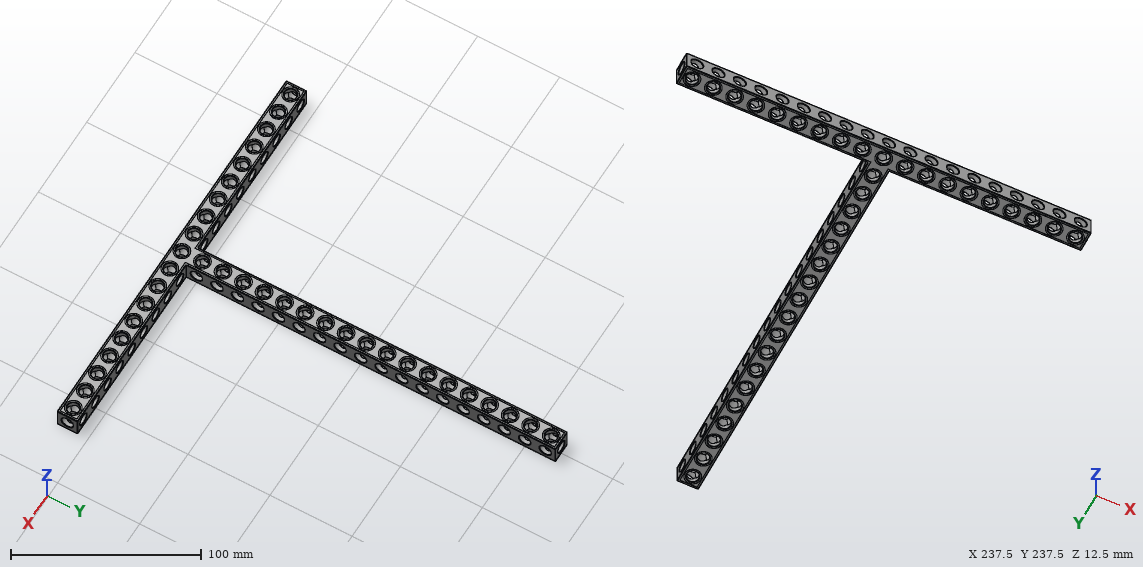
import cadquery as cq
length = 237.5
hole_count = 19
edge_chamfer = 0.3
hole_mouth_diameter = 7.5
pad_opening_diameter = 9.3
pad_height = 0.07
pad_inset = 1.2

pitch = length / hole_count
width = pitch
half_width = width / 2
half_length = length / 2
stem_end = length - half_width
core_half_height = half_width - pad_height
hole_diameter = hole_mouth_diameter - 2 * edge_chamfer

middle = hole_count // 2
bar_stations = [(i - middle) * pitch for i in range(hole_count)]
stem_stations = [i * pitch for i in range(hole_count)]


def tee_outline():
    """Tee seen from above, with the crossing of the bars at the origin."""
    points = [
        (-half_length, -half_width),
        (half_length, -half_width),
        (half_length, half_width),
        (half_width, half_width),
        (half_width, stem_end),
        (-half_width, stem_end),
        (-half_width, half_width),
        (-half_length, half_width),
    ]
    return cq.Workplane("XY").polyline(points).close()


def tee_body():
    """Chamfered core with a thin inset pad on the top and bottom faces."""
    core = tee_outline().extrude(core_half_height, both=True).edges().chamfer(edge_chamfer)
    pads = tee_outline().offset2D(-pad_inset, "intersection").extrude(half_width, both=True)
    return core.union(pads)


def hole_cutter(half_depth):
    """Cutter along Z for a through hole with a chamfered mouth at each end."""
    bore_radius = hole_diameter / 2
    mouth_radius = hole_mouth_diameter / 2
    chamfer_start = half_depth - edge_chamfer
    profile = [
        (0, -half_depth),
        (mouth_radius, -half_depth),
        (bore_radius, -chamfer_start),
        (bore_radius, chamfer_start),
        (mouth_radius, half_depth),
        (0, half_depth),
    ]
    return cq.Workplane("XZ").polyline(profile).close().revolve(360, (0, 0), (0, 1)).val()


def cut_holes(body, axis, half_depth, centres):
    """Cut one hole along the given axis at each centre."""
    cutter = hole_cutter(half_depth)
    if axis == "X":
        cutter = cutter.rotate((0, 0, 0), (0, 1, 0), 90)
    elif axis == "Y":
        cutter = cutter.rotate((0, 0, 0), (1, 0, 0), 90)
    cutters = [cutter.translate(cq.Vector(*centre)) for centre in centres]
    return body.cut(cq.Workplane("XY").newObject(cutters))


def cut_vertical_holes(body):
    """Holes through both faces, with a round opening in the pads around each."""
    points = [(x, 0) for x in bar_stations] + [(0, y) for y in stem_stations[1:]]
    body = cut_holes(body, "Z", core_half_height, points)
    for bottom in (core_half_height, -half_width):
        level = cq.Workplane("XY", origin=(0, 0, bottom))
        openings = level.pushPoints(points).circle(pad_opening_diameter / 2).extrude(pad_height)
        body = body.cut(openings)
    return body


def cut_holes_along_y(body):
    """Side holes across the bar; the middle one runs the whole stem."""
    short_centres = [(x, 0) for x in bar_stations if x != 0]
    body = cut_holes(body, "Y", half_width, short_centres)
    return cut_holes(body, "Y", half_length, [(0, half_length - half_width)])


def cut_holes_along_x(body):
    """Side holes across the stem; the one at the crossing runs the whole bar."""
    short_centres = [(0, y) for y in stem_stations[1:]]
    body = cut_holes(body, "X", half_width, short_centres)
    return cut_holes(body, "X", half_length, [(0, 0)])


result = cut_holes_along_x(cut_holes_along_y(cut_vertical_holes(tee_body())))